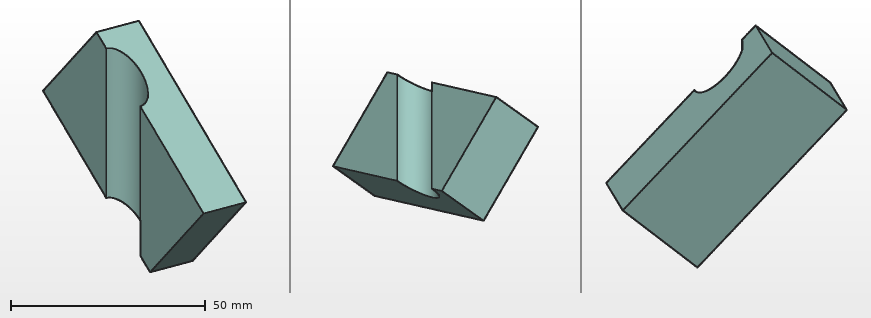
import cadquery as cq
import math

overall_size = 60.0
thickness = 15.0
tilt_angle = 45.0
groove_radius = 6.35

block_width = overall_size / 3 * math.sqrt(2)
block_length = 2 * block_width


def tilted_block():
    """Rectangular block whose long side runs from upper -X to lower +X."""
    block = cq.Workplane("XY").box(block_length, thickness, block_width)
    return block.rotate((0, 0, 0), (0, 1, 0), tilt_angle)


def groove_cutter():
    """Vertical cylinder centred on the -Y face, long enough to pass right through."""
    return (
        cq.Workplane("XY", origin=(0, 0, -overall_size / 2))
        .center(0, -thickness / 2)
        .circle(groove_radius)
        .extrude(overall_size)
    )


result = tilted_block().cut(groove_cutter())